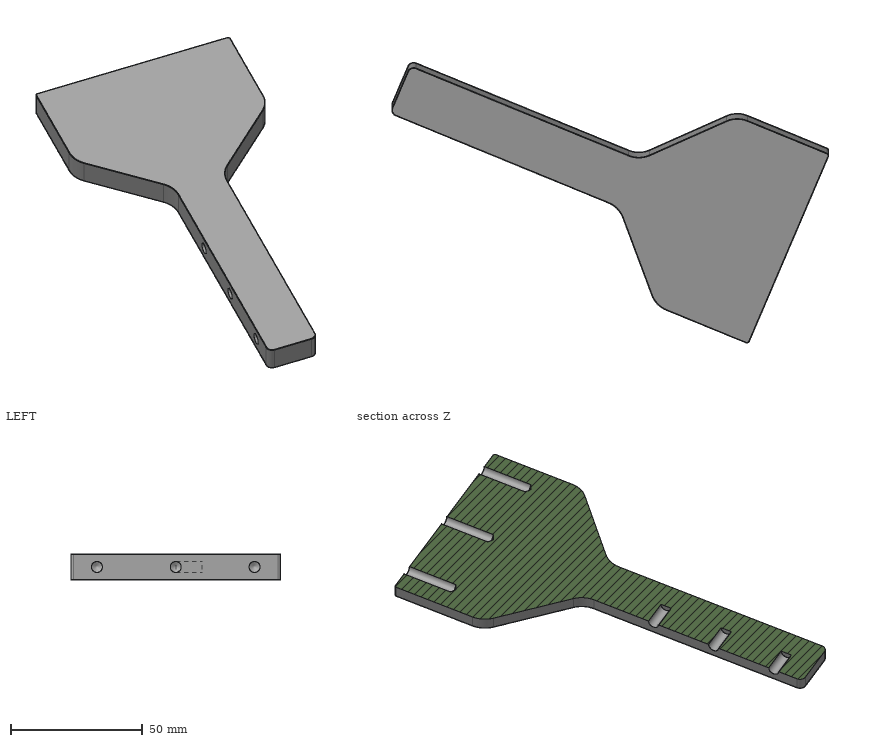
import cadquery as cq
import math

length = 160.5
blade_width = 80.0
handle_width = 20.0
thickness = 10.0

taper_start = 38.2
taper_end = 66.0
taper_radius = 10.0

blade_corner_radius = 1.0
handle_corner_radius = 2.4
edge_chamfer = 0.2

hole_diameter = 4.2
tip_angle = 118.0
end_hole_count = 3
end_hole_spacing = 30.0
end_hole_depth = 20.0
side_hole_count = 3
side_hole_spacing = 26.0
side_hole_inset = 12.5
side_hole_depth = handle_width / 2


def make_plate():
    half_blade = blade_width / 2
    half_handle = handle_width / 2
    upper = [
        (0, half_blade),
        (taper_start, half_blade),
        (taper_end, half_handle),
        (length, half_handle),
    ]
    lower = [(x, -y) for x, y in reversed(upper)]
    plate = (
        cq.Workplane("XY")
        .polyline(upper + lower)
        .close()
        .extrude(thickness / 2, both=True)
    )
    plate = plate.edges("|Z").edges("not(<X or >X)").fillet(taper_radius)
    plate = plate.faces("<X").edges("|Z").fillet(blade_corner_radius)
    plate = plate.faces(">X").edges("|Z").fillet(handle_corner_radius)
    return plate.faces("|Z").edges().chamfer(edge_chamfer)


def drill(entry, direction, depth):
    """Cutting body for a flat-bottomed blind hole."""
    return cq.Solid.makeCylinder(hole_diameter / 2, depth, cq.Vector(*entry), cq.Vector(*direction))


def drill_with_tip(entry, direction, depth):
    """Cutting body of the given full-diameter depth ending in a conical drill tip."""
    radius = hole_diameter / 2
    tip_length = radius / math.tan(math.radians(tip_angle / 2))
    axis = cq.Vector(*direction)
    tip_base = cq.Vector(*entry) + axis * depth
    tip = cq.Solid.makeCone(radius, 0, tip_length, tip_base, axis)
    return drill(entry, direction, depth).fuse(tip)


result = make_plate()

for index in range(end_hole_count):
    y = (index - (end_hole_count - 1) / 2) * end_hole_spacing
    result = result.cut(drill_with_tip((0, y, 0), (1, 0, 0), end_hole_depth))

for index in range(side_hole_count):
    x = length - side_hole_inset - index * side_hole_spacing
    result = result.cut(drill((x, -handle_width / 2, 0), (0, 1, 0), side_hole_depth))